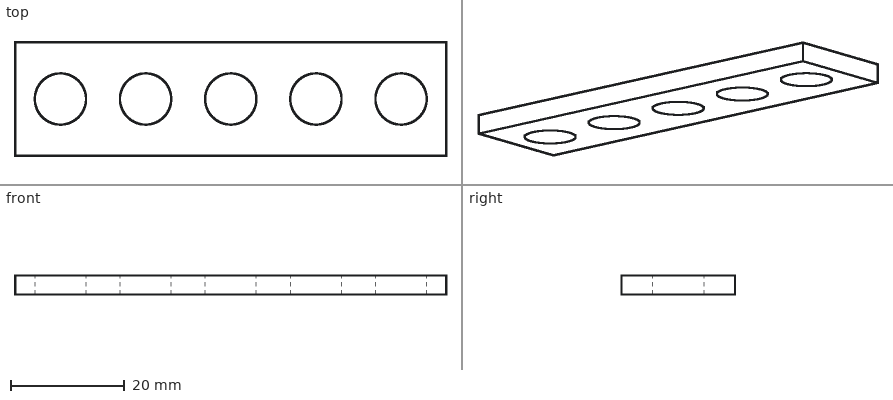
import cadquery as cq

length = 76.0
width = 20.0
thickness = 3.4

hole_diameter = 9.0
hole_count = 5
hole_pitch = 15.0


def make_plate():
    """Flat rectangular plate centred on the origin."""
    return cq.Workplane("XY").box(length, width, thickness)


def drill_hole_row(plate):
    """Drill evenly spaced through holes along the plate's long centre line."""
    return (
        plate.faces(">Z")
        .workplane()
        .rarray(hole_pitch, width, hole_count, 1)
        .hole(hole_diameter)
    )


result = drill_hole_row(make_plate())